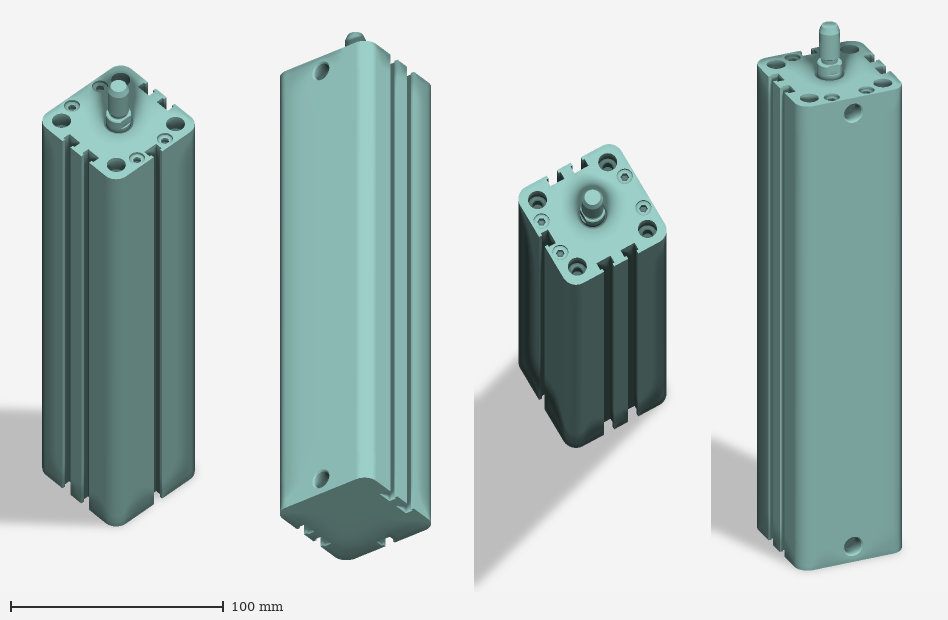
import cadquery as cq


side = 54.7
corner_radius = 6.8
cap_height = 14.4
body_height = 245.3
overall_height = 271.0
tube_height = body_height - 2 * cap_height
front_cap_base = body_height - cap_height

slot_offset = 6.5
slot_mouth = 5.5
slot_width = 7.5
slot_lip = 1.5
slot_depth = 5.5

mount_offset = 19.0
mount_diameter = 9.0
mount_depth = 8.0
mount_countersink = 6.0
mount_pilot = 5.0

screw_x = 22.5
screw_y = 9.0
screw_recess = 7.5
screw_recess_depth = 1.4
screw_socket = 4.0
screw_socket_depth = 2.7

port_from_end = 8.0
port_diameter = 8.7
port_mouth = 10.0
port_core = 40.0

rod_diameter = 12.0
rod_recess = 14.0
rod_recess_floor = 12.5
rod_recess_depth = 0.8
collar_height = 6.8
collar_chamfer = 0.5
flats_width = 10.0
flats_start = 2.0
thread_diameter = 10.0
thread_tip_height = 3.0
thread_tip = 7.5
thread_end_chamfer = 0.8
neck_diameter = 7.5
neck_height = 2.7


def profile(base, height):
    """Rounded square bar with its five sensor slots, starting at the given level."""
    bar = (
        cq.Workplane("XY")
        .workplane(offset=base)
        .rect(side, side)
        .extrude(height)
        .edges("|Z")
        .fillet(corner_radius)
    )
    for turn, offset in [
        (0, 0),
        (90, -slot_offset),
        (90, slot_offset),
        (-90, -slot_offset),
        (-90, slot_offset),
    ]:
        bar = bar.cut(slot(base, height, offset).rotate((0, 0, 0), (0, 0, 1), turn))
    return bar


def slot(base, height, offset):
    """Undercut slot cutter on the +X side."""
    mouth = cq.Workplane("XY").box(slot_depth, slot_mouth, height, centered=(False, True, False))
    channel = cq.Workplane("XY").box(
        slot_depth - slot_lip, slot_width, height, centered=(False, True, False)
    )
    return mouth.union(channel).translate((side / 2 - slot_depth, offset, base))


def port(level):
    """Air port cutter with a countersunk mouth, running from the -X side to the round core."""
    countersink = (port_mouth - port_diameter) / 2
    section = [
        (0, 0),
        (port_mouth / 2, 0),
        (port_diameter / 2, countersink),
        (port_diameter / 2, side / 2),
        (0, side / 2),
    ]
    hole = (
        cq.Workplane("XY")
        .polyline(section)
        .close()
        .revolve(360, (0, 0, 0), (0, 1, 0))
        .rotate((0, 0, 0), (0, 0, 1), -90)
        .translate((-side / 2, 0, level))
    )
    core = cq.Workplane("XY").circle(port_core / 2).extrude(body_height)
    return hole.cut(core)


def on_top():
    """Workplane on the outer face of the front cap."""
    return cq.Workplane("XY").workplane(offset=body_height)


def mount_hole():
    """Mounting hole cutter with its mouth at the origin, pointing down."""
    pilot_start = mount_depth + (mount_countersink - mount_pilot) / 2
    section = [
        (0, 0),
        (mount_diameter / 2, 0),
        (mount_diameter / 2, -mount_depth),
        (mount_countersink / 2, -mount_depth),
        (mount_pilot / 2, -pilot_start),
        (mount_pilot / 2, -cap_height),
        (0, -cap_height),
    ]
    return cq.Workplane("XZ").polyline(section).close().revolve(360, (0, 0, 0), (0, 1, 0))


def screw_socket_cutter():
    """Hexagon socket cutter below the floor of a screw recess, with corners on the Y axis."""
    return (
        cq.Workplane("XY")
        .workplane(offset=-screw_recess_depth)
        .transformed(rotate=(0, 0, 90))
        .polygon(6, screw_socket)
        .extrude(-screw_socket_depth)
    )


def make_tube():
    """Profile tube between the two caps."""
    return profile(cap_height, tube_height)


def make_rear_cap():
    """Bottom end cap with its air port."""
    return profile(0, cap_height).cut(port(port_from_end))


def make_front_cap():
    """Top end cap with its air port, mounting holes, cover screws and rod bore."""
    cap = profile(front_cap_base, cap_height).cut(port(body_height - port_from_end))

    mounts = on_top().rect(2 * mount_offset, 2 * mount_offset, forConstruction=True).vertices()
    cap = cap.cut(mounts.eachpoint(lambda place: mount_hole().val().moved(place)))

    screws = on_top().rect(2 * screw_x, 2 * screw_y, forConstruction=True).vertices()
    cap = cap.cut(screws.circle(screw_recess / 2).extrude(-screw_recess_depth))
    cap = cap.cut(screws.eachpoint(lambda place: screw_socket_cutter().val().moved(place)))

    cap = cap.cut(on_top().circle(rod_diameter / 2).extrude(-cap_height))
    recess = (
        on_top()
        .circle(rod_recess / 2)
        .workplane(offset=-rod_recess_depth)
        .circle(rod_recess_floor / 2)
        .loft()
    )
    return cap.cut(recess)


def make_rod():
    """Piston rod from the tube end through the front cap, with collar, neck and threaded tip."""
    collar_top = body_height + collar_height
    thread_base = collar_top + neck_height
    section = [
        (0, front_cap_base),
        (rod_diameter / 2, front_cap_base),
        (rod_diameter / 2, collar_top - collar_chamfer),
        (rod_diameter / 2 - collar_chamfer, collar_top),
        (neck_diameter / 2, collar_top),
        (neck_diameter / 2, thread_base - thread_end_chamfer),
        (thread_diameter / 2, thread_base),
        (thread_diameter / 2, overall_height - thread_tip_height),
        (thread_tip / 2, overall_height),
        (0, overall_height),
    ]
    rod = cq.Workplane("XZ").polyline(section).close().revolve(360, (0, 0, 0), (0, 1, 0))

    for direction in (-1, 1):
        flat = cq.Workplane("XY").box(
            rod_diameter, rod_diameter, collar_height - flats_start, centered=(True, True, False)
        )
        shift = direction * (flats_width + rod_diameter) / 2
        rod = rod.cut(flat.translate((shift, 0, body_height + flats_start)))
    return rod


tube = make_tube()
rear_cap = make_rear_cap()
front_cap = make_front_cap()
rod = make_rod()

result = cq.Compound.makeCompound([tube.val(), rear_cap.val(), front_cap.val(), rod.val()])